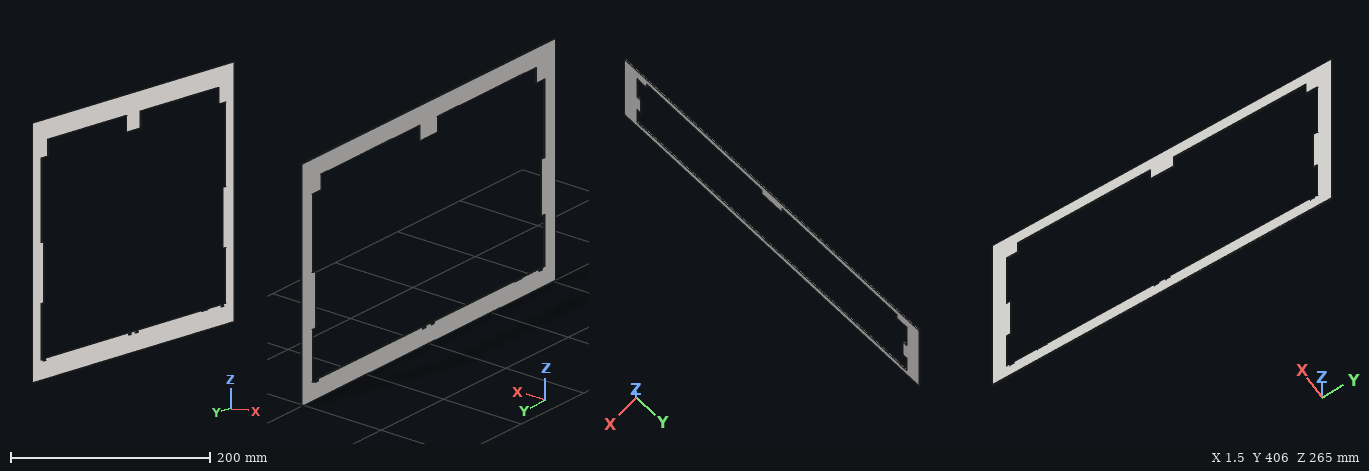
import cadquery as cq

thickness = 1.5
width = 406.0
height = 265.0

side_border = 17.2
end_border = 21.5
opening_width = width - 2 * side_border
opening_height = height - 2 * end_border
opening_half = opening_width / 2
opening_top = opening_height / 2
opening_bottom = -opening_top

top_tab_drop = 17.2
corner_tab_width = 13.5
center_tab_width = 28.0

side_tab_reach = 5.0
side_tab_top = 8.0
side_tab_bottom = -54.5
side_tab_height = side_tab_top - side_tab_bottom

notch_width = 5.0
notch_depth = 2.4
notch_offsets = (6.75, 179.6)

recess_depth = 0.9
wide_recess_width = 11.5
wide_recess_y = -143.5
corner_recess_width = 4.0


def block(y_center, z_bottom, y_size, z_size):
    """Full-thickness rectangular block resting on z_bottom."""
    return (
        cq.Workplane("XY")
        .box(thickness, y_size, z_size, centered=(True, True, False))
        .translate((0, y_center, z_bottom))
    )


def frame():
    outer = block(0, -height / 2, width, height)
    opening = block(0, opening_bottom, opening_width, opening_height)
    return outer.cut(opening)


def add_top_tabs(body):
    tab_bottom = opening_top - top_tab_drop
    corner_y = opening_half - corner_tab_width / 2
    body = body.union(block(0, tab_bottom, center_tab_width, top_tab_drop))
    for side in (-1, 1):
        body = body.union(block(side * corner_y, tab_bottom, corner_tab_width, top_tab_drop))
    return body


def add_side_tabs(body):
    tab_y = opening_half - side_tab_reach / 2
    for side in (-1, 1):
        body = body.union(block(side * tab_y, side_tab_bottom, side_tab_reach, side_tab_height))
    return body


def cut_bottom_notches(body):
    for offset in notch_offsets:
        for side in (-1, 1):
            body = body.cut(block(side * offset, opening_bottom - notch_depth, notch_width, notch_depth))
    return body


def cut_bottom_recesses(body):
    recess_bottom = opening_bottom - recess_depth
    corner_y = opening_half - corner_recess_width / 2
    body = body.cut(block(wide_recess_y, recess_bottom, wide_recess_width, recess_depth))
    return body.cut(block(corner_y, recess_bottom, corner_recess_width, recess_depth))


result = frame()
result = add_top_tabs(result)
result = add_side_tabs(result)
result = cut_bottom_notches(result)
result = cut_bottom_recesses(result)